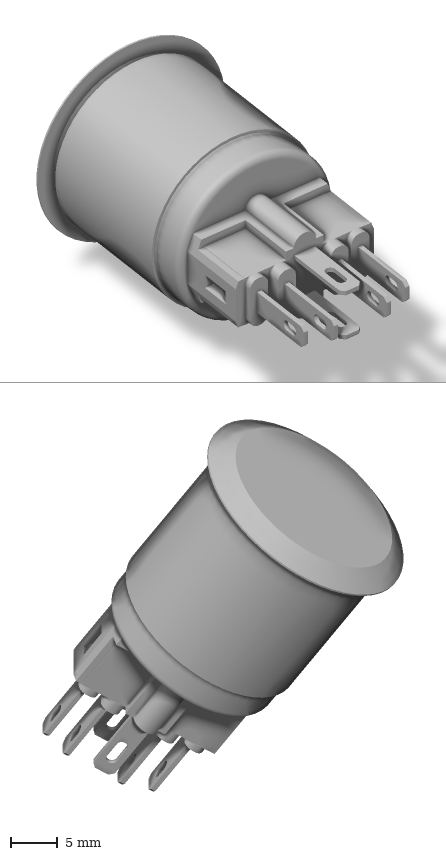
import cadquery as cq


flange_radius = 25.0 / 2
body_radius = 21.8 / 2
neck_radius = 20.8 / 2
face_radius = 10.0
flange_cone_end = 1.55
flange_end = 1.75
body_start = 2.75
body_end = 19.9
body_taper_length = 0.25
body_taper_radius = 10.55
body_back = 24.0
back_fillet = 0.85

block_end = 32.55
block_half_width = 9.2
block_half_height = 4.2
block_top_half_width = 8.45
block_side_half_height = 2.15

rib_radius = 1.5
rib_crest = 5.6

recess_start = 25.42
recess_inner_edge = 2.53
recess_height = 3.05
floor_pad_height = 3.1
floor_pad_outer_edge = 8.05

window_start = 27.1
window_end = 30.75
window_height = 1.7
latch_ramp_start = 28.75
latch_ramp_end = 30.25
window_depth = 1.15
latch_depth = 0.45

terminal_thickness = 0.55
terminal_width = 2.75
terminal_corner = 0.5
slot_width = 1.25

center_terminal_offset = 2.9
center_terminal_end = 41.05
center_slot = (36.5, 39.65)

inner_terminal_offset = 3.5
inner_terminal_end = 42.8
inner_slot = (39.25, 41.47)
inner_collar_length = 1.5

outer_terminal_offset = 6.75
outer_terminal_end = 41.77
outer_slot = (38.18, 40.4)
outer_collar_length = 0.9

collar_width = 2.35
collar_height = 6.25
collar_corner = 1.05

SIDES = (-1, 1)


def box(x_range, y_range, z_range):
    """Axis-aligned box between the given limits."""
    return cq.Workplane("XY").box(
        x_range[1] - x_range[0],
        y_range[1] - y_range[0],
        z_range[1] - z_range[0],
        centered=False,
    ).translate((x_range[0], y_range[0], z_range[0]))


def make_body():
    """Flanged round housing, turned about the X axis."""
    profile = [
        (0, 0),
        (0, face_radius),
        (flange_cone_end, flange_radius),
        (flange_end, flange_radius),
        (flange_end, neck_radius),
        (body_start, neck_radius),
        (body_start, body_radius),
        (body_end, body_radius),
        (body_end, body_taper_radius),
        (body_end + body_taper_length, neck_radius),
        (body_back, neck_radius),
        (body_back, 0),
    ]
    body = cq.Workplane("XY").polyline(profile).close().revolve(360, (0, 0, 0), (1, 0, 0))
    return body.faces(">X").edges().fillet(back_fillet)


def make_block():
    """Block with sloping upper and lower side corners and a rib on top and bottom."""
    length = block_end - body_back
    outline = [
        (block_half_width, -block_side_half_height),
        (block_half_width, block_side_half_height),
        (block_top_half_width, block_half_height),
        (-block_top_half_width, block_half_height),
        (-block_half_width, block_side_half_height),
        (-block_half_width, -block_side_half_height),
        (-block_top_half_width, -block_half_height),
        (block_top_half_width, -block_half_height),
    ]
    plane = cq.Workplane("YZ", origin=(body_back, 0, 0))
    rib_center = rib_crest - rib_radius
    block = plane.polyline(outline).close().extrude(length)
    ribs = plane.pushPoints([(0, side * rib_center) for side in SIDES]).circle(rib_radius).extrude(length)
    return block.union(ribs)


def make_corner_recess():
    """Cutter for the recess in the +Y, +Z corner, leaving a low pad on its floor."""
    recess = box(
        (recess_start, block_end),
        (recess_inner_edge, block_half_width),
        (recess_height, block_half_height),
    )
    pad = box(
        (recess_start, block_end),
        (recess_inner_edge, floor_pad_outer_edge),
        (recess_height, floor_pad_height),
    )
    return recess.cut(pad)


def make_window():
    """Cutter for the window in the +Y side, with a latch ramp at its back."""
    deep_y = block_half_width - window_depth
    latch_y = block_half_width - latch_depth
    outline = [
        (window_start, block_half_width),
        (window_start, deep_y),
        (latch_ramp_start, deep_y),
        (latch_ramp_end, latch_y),
        (window_end, latch_y),
        (window_end, block_half_width),
    ]
    return cq.Workplane("XY").polyline(outline).close().extrude(window_height / 2, both=True)


def make_terminal(end, slot):
    """Horizontal blade centered on the axis, with a lengthwise slot and cut corners."""
    blade = box(
        (block_end, end),
        (-terminal_width / 2, terminal_width / 2),
        (-terminal_thickness / 2, terminal_thickness / 2),
    )
    blade = blade.edges("|Z and >X").chamfer(terminal_corner)
    cutter = (
        cq.Workplane("XY", origin=((slot[0] + slot[1]) / 2, 0, 0))
        .slot2D(slot[1] - slot[0], slot_width)
        .extrude(terminal_thickness, both=True)
    )
    return blade.cut(cutter)


def make_side_terminal(end, slot, collar_length):
    """Upright blade with a rounded collar at its root."""
    blade = make_terminal(end, slot).rotate((0, 0, 0), (1, 0, 0), 90)
    collar = (
        cq.Workplane("YZ", origin=(block_end, 0, 0))
        .rect(collar_width, collar_height)
        .extrude(collar_length)
        .edges("|X")
        .fillet(collar_corner)
    )
    return blade.union(collar)


block = make_block()
corner_recess = make_corner_recess()
window = make_window()
for cutter in (corner_recess, corner_recess.mirror("XY"), window):
    block = block.cut(cutter).cut(cutter.mirror("XZ"))

result = make_body().union(block)

center_terminal = make_terminal(center_terminal_end, center_slot)
inner_terminal = make_side_terminal(inner_terminal_end, inner_slot, inner_collar_length)
outer_terminal = make_side_terminal(outer_terminal_end, outer_slot, outer_collar_length)
for side in SIDES:
    result = result.union(center_terminal.translate((0, 0, side * center_terminal_offset)))
    result = result.union(inner_terminal.translate((0, side * inner_terminal_offset, 0)))
    result = result.union(outer_terminal.translate((0, side * outer_terminal_offset, 0)))